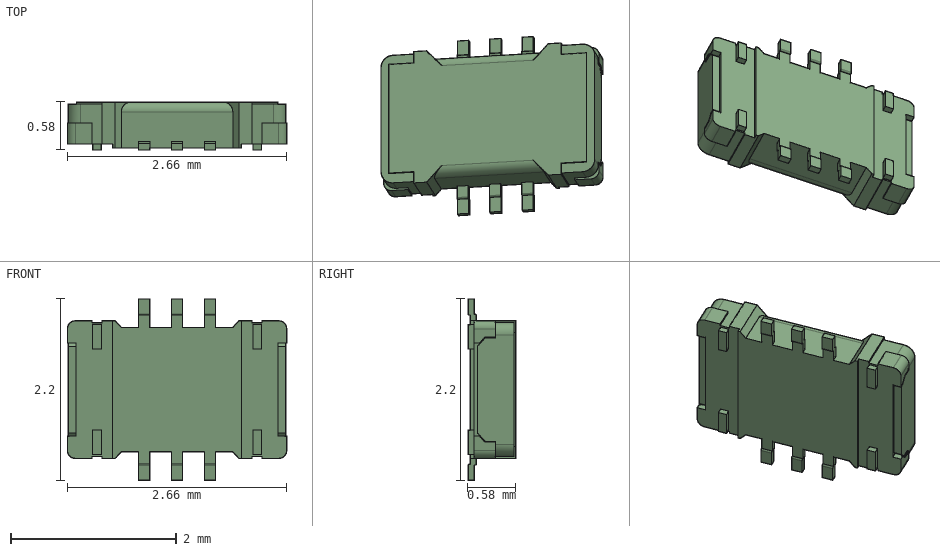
import cadquery as cq

HEIGHT = 0.58
CORE_FRONT = 0.025
BODY_FRONT = 0.072
FLANGE_BACK = 0.33
SHELL_BACK = 0.555

FLANGE_HALF_X = 1.33
SHELL_HALF_X = 1.32
FLANGE_HALF_Z = 0.835
SHELL_HALF_Z = 0.81
FLANGE_INNER_X = 1.03
FLANGE_RADIUS = 0.098
SHELL_RADIUS = 0.15
BAND_HALF_X = 0.91
CORE_HALF_X = 0.78
BACK_PLATE_HALF_X = 1.22
BACK_PLATE_HALF_Z = 0.692

RECESS_MOUTH_HALF_X = 0.75
WALL_HALF_X = 0.675
WALL_HALF_Z = 0.755
WALL_RADIUS = 0.12

WINDOW_HALF_Z = 0.628
WINDOW_SHOULDER_Y = 0.207
WINDOW_FLOOR_Y = 0.112
WINDOW_FLOOR_HALF_Z = 0.525
WINDOW_GAP = 0.008
WINDOW_GAP_DEPTH = 0.01
POCKET_INNER_X = 1.224
POCKET_HALF_Z = 0.565

LEAD_COLUMNS = (-1, 0, 1)
LEAD_PITCH = 0.4
LEAD_WIDTH = 0.138
LEAD_THICKNESS = 0.077
LEAD_SPAN = 2.2
LEAD_TIP_Z = LEAD_SPAN / 2
LEAD_STEP_FRONT_Z = 0.902
LEAD_STEP_BACK_Z = 0.915
LEAD_STEP_RADIUS = 0.015

PIN_X = 0.97
PIN_WIDTH = 0.106
PIN_INNER_Z = 0.492
PIN_OUTER_Z = 0.787


def block(half_x, half_z, y_front, y_back):
    """Block centred on X and Z between two Y planes."""
    depth = y_back - y_front
    return cq.Workplane("XY").box(2 * half_x, depth, 2 * half_z).translate((0, y_front + depth / 2, 0))


def span(x_start, x_end, half_z, y_front, y_back):
    """Block centred on Z between two X planes and two Y planes."""
    middle = (x_start + x_end) / 2
    return block((x_end - x_start) / 2, half_z, y_front, y_back).translate((middle, 0, 0))


def both_ends(shape):
    """The shape together with its mirror image across X = 0."""
    return shape.union(shape.mirror("YZ"))


def extrude_along_x(points, x_start, x_end):
    """Prism from a closed (Y, Z) outline between two X planes."""
    return cq.Workplane("YZ", origin=(x_start, 0, 0)).polyline(points).close().extrude(x_end - x_start)


def make_shell():
    shell = block(SHELL_HALF_X, SHELL_HALF_Z, BODY_FRONT, SHELL_BACK).edges("|Y").fillet(SHELL_RADIUS)
    back_plate = block(BACK_PLATE_HALF_X, BACK_PLATE_HALF_Z, SHELL_BACK, HEIGHT)
    band = block(BAND_HALF_X, FLANGE_HALF_Z, BODY_FRONT, HEIGHT)
    core = block(CORE_HALF_X, FLANGE_HALF_Z, CORE_FRONT, HEIGHT)
    return shell.union(back_plate).union(band).union(core)


def make_flanges():
    flange = block(FLANGE_HALF_X, FLANGE_HALF_Z, BODY_FRONT, FLANGE_BACK).edges("|Y").fillet(FLANGE_RADIUS)
    return flange.cut(block(FLANGE_INNER_X, FLANGE_HALF_Z, BODY_FRONT, FLANGE_BACK))


def window_prism(x_start, x_end, gap=0):
    """Tongue that fills the window, grown by a gap on its sides and front."""
    half_outline = [
        (FLANGE_BACK, WINDOW_HALF_Z + gap),
        (WINDOW_SHOULDER_Y - gap / 2, WINDOW_HALF_Z + gap),
        (WINDOW_FLOOR_Y - gap, WINDOW_FLOOR_HALF_Z + gap / 2),
    ]
    outline = half_outline + [(y, -z) for y, z in reversed(half_outline)]
    return extrude_along_x(outline, x_start, x_end)


def make_end_windows():
    """Openings in the flanges, with a narrow groove around the tongue and a pocket in front of it."""
    groove_floor_x = SHELL_HALF_X - WINDOW_GAP_DEPTH
    relief = window_prism(groove_floor_x, FLANGE_HALF_X, WINDOW_GAP)
    relief = relief.cut(window_prism(groove_floor_x, SHELL_HALF_X))
    pocket = span(POCKET_INNER_X, FLANGE_HALF_X, POCKET_HALF_Z, BODY_FRONT, WINDOW_SHOULDER_Y)
    pocket = pocket.cut(window_prism(POCKET_INNER_X, SHELL_HALF_X))
    return both_ends(relief.union(pocket))


def make_recesses():
    floor_z = WALL_HALF_Z - WALL_RADIUS
    slope = (RECESS_MOUTH_HALF_X - WALL_HALF_X) / (FLANGE_HALF_Z - WALL_HALF_Z)
    floor_half_x = WALL_HALF_X - slope * WALL_RADIUS
    outline = [
        (-RECESS_MOUTH_HALF_X, FLANGE_HALF_Z),
        (-floor_half_x, floor_z),
        (floor_half_x, floor_z),
        (RECESS_MOUTH_HALF_X, FLANGE_HALF_Z),
    ]
    recess = cq.Workplane("XZ").polyline(outline).close().extrude(-HEIGHT)
    return recess.union(recess.mirror("XY"))


def make_wall():
    wall = block(WALL_HALF_X, WALL_HALF_Z, CORE_FRONT, HEIGHT)
    return wall.edges("|X and >Y").fillet(WALL_RADIUS)


def make_lead(x):
    """Lead with a foot at each end, stepped down to the solder plane."""
    lead_back = CORE_FRONT + LEAD_THICKNESS
    upper = [
        (CORE_FRONT, LEAD_STEP_FRONT_Z),
        (0, LEAD_STEP_FRONT_Z),
        (0, LEAD_TIP_Z),
        (LEAD_THICKNESS, LEAD_TIP_Z),
        (LEAD_THICKNESS, LEAD_STEP_BACK_Z),
        (lead_back, LEAD_STEP_BACK_Z),
    ]
    lower = [(y, -z) for y, z in reversed(upper)]
    lead = extrude_along_x(upper + lower, x - LEAD_WIDTH / 2, x + LEAD_WIDTH / 2)
    for side in (-1, 1):
        foot_corner = (x, 0, side * LEAD_STEP_FRONT_Z)
        back_corner = (x, lead_back, side * LEAD_STEP_BACK_Z)
        for corner in (foot_corner, back_corner):
            lead = lead.edges(cq.NearestToPointSelector(corner)).fillet(LEAD_STEP_RADIUS)
    return lead


def make_pins():
    half_length = (PIN_OUTER_Z - PIN_INNER_Z) / 2
    middle_z = (PIN_OUTER_Z + PIN_INNER_Z) / 2
    pin = block(PIN_WIDTH / 2, half_length, 0, BODY_FRONT).translate((PIN_X, 0, middle_z))
    return both_ends(pin.union(pin.mirror("XY")))


result = make_shell().union(make_flanges())
result = result.cut(make_end_windows())
result = result.cut(make_recesses()).union(make_wall())
for column in LEAD_COLUMNS:
    result = result.union(make_lead(column * LEAD_PITCH))
result = result.union(make_pins())